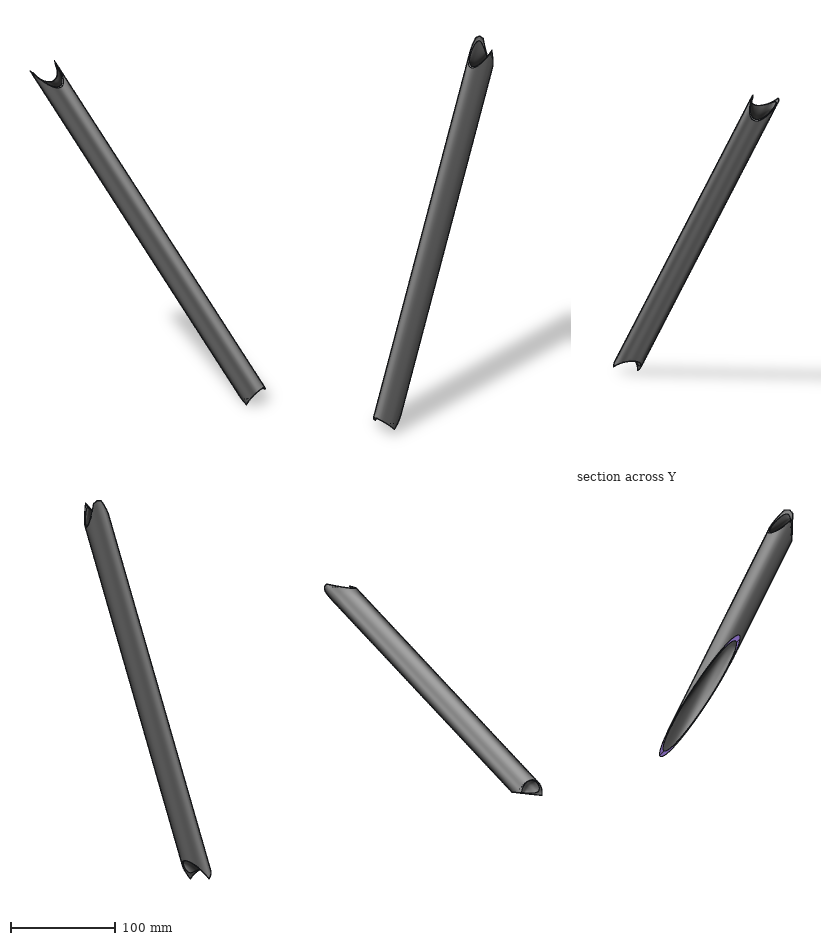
import cadquery as cq
import math

TUBE_RADIUS = 12.46
WALL = 1.25
LOWER_NODE = cq.Vector(0, 0, 0)
UPPER_NODE = cq.Vector(-228.2, -68.9, 314.2)

UPPER_CHORD_TILT = -8.0
NOTCH_LENGTH = 200.0


def cylinder(start, direction, length, radius):
    return cq.Workplane(cq.Solid.makeCylinder(radius, length, start, direction))


def brace_tube(axis):
    outer = cylinder(LOWER_NODE, axis, axis.Length, TUBE_RADIUS)
    bore = cylinder(LOWER_NODE, axis, axis.Length, TUBE_RADIUS - WALL)
    return outer.cut(bore)


def crossing_tube(node, direction):
    """Solid envelope of a same-size tube whose axis passes through the node."""
    start = node - direction.normalized() * (NOTCH_LENGTH / 2)
    return cylinder(start, direction, NOTCH_LENGTH, TUBE_RADIUS)


def notched_brace():
    axis = UPPER_NODE - LOWER_NODE
    tilt = math.radians(UPPER_CHORD_TILT)
    lower_chord = cq.Vector(1, 0, 0)
    upper_chord = cq.Vector(math.cos(tilt), 0, math.sin(tilt))
    neighbour = cq.Vector(-axis.y, axis.x, axis.z)

    brace = brace_tube(axis)
    brace = brace.cut(crossing_tube(LOWER_NODE, lower_chord))
    brace = brace.cut(crossing_tube(UPPER_NODE, upper_chord))
    brace = brace.cut(crossing_tube(UPPER_NODE, neighbour))

    return cq.Workplane(max(brace.solids().vals(), key=lambda solid: solid.Volume()))


result = notched_brace()